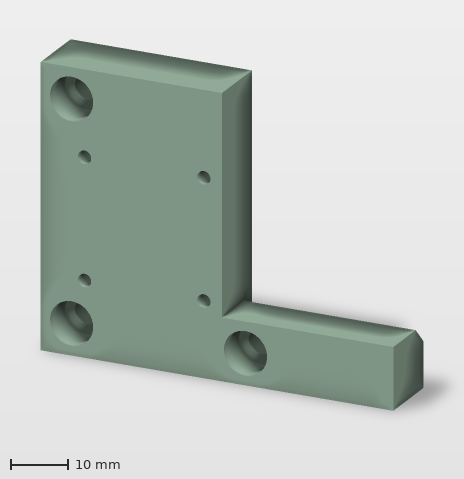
import cadquery as cq

length = 68.0
thickness = 12.2
height = 53.8
column_width = 34.95
arm_height = 11.9
arm_chamfer = 3.1

mount_inset = 6.0
mount_pitch_x = 33.5
mount_pitch_z = 41.9
mount_diameter = 4.6
counterbore_diameter = 8.3
counterbore_depth = 6.1

small_diameter = 2.5
small_pitch = 23.0
small_start_x = 8.5
small_start_z = 14.4


def cylinder_from_front(x, z, diameter, depth):
    """Cylinder running from the front face toward +Y."""
    axis_start = cq.Vector(x, 0, z)
    return cq.Workplane(cq.Solid.makeCylinder(diameter / 2, depth, axis_start, cq.Vector(0, 1, 0)))


column = cq.Workplane("XY").box(column_width, thickness, height, centered=False)
arm = (
    cq.Workplane("YZ", origin=(column_width, 0, 0))
    .polyline([
        (0, 0),
        (thickness, 0),
        (thickness, arm_height - arm_chamfer),
        (thickness - arm_chamfer, arm_height),
        (0, arm_height),
    ])
    .close()
    .extrude(length - column_width)
)
result = column.union(arm)

mount_positions = [
    (mount_inset, mount_inset),
    (mount_inset + mount_pitch_x, mount_inset),
    (mount_inset, mount_inset + mount_pitch_z),
]
for x, z in mount_positions:
    result = result.cut(cylinder_from_front(x, z, mount_diameter, thickness))
    result = result.cut(cylinder_from_front(x, z, counterbore_diameter, counterbore_depth))

for x in (small_start_x, small_start_x + small_pitch):
    for z in (small_start_z, small_start_z + small_pitch):
        result = result.cut(cylinder_from_front(x, z, small_diameter, thickness))